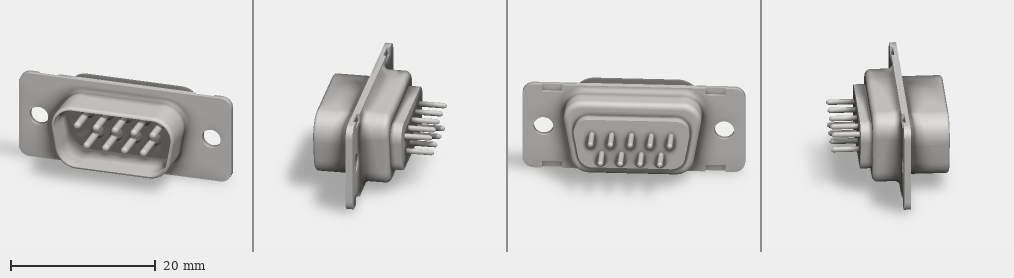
import cadquery as cq
import math


flange_width = 30.81
flange_height = 12.55
flange_thickness = 0.95
flange_corner_radius = 1.53
hole_diameter = 2.72
hole_spacing = 25.0

notch_inner_x = 9.9
notch_outer_x = 12.7
notch_depth = 0.4
notch_height = 1.0

side_angle = math.radians(10)

shell_depth = 5.85
shell_center_x = 5.79
shell_center_z = 1.53
shell_radius = 3.09
shell_wall = 0.38
shell_edge_radius = 0.47
shell_root_radius = 0.5
cavity_floor_y = 0.55

rear_depth = 3.88
rear_center_x = 6.93
rear_center_z = 2.8
rear_radius = 2.57
rear_edge_radius = 0.8
rear_root_radius = 0.8

insulator_depth = 1.6
insulator_center_x = 6.0
insulator_center_z = 1.6
insulator_radius = 2.0

pin_pitch = 2.74
row_spacing = 2.84
upper_row_count = 5
lower_row_count = 4
pin_diameter = 1.0
pin_tip_y = -4.9
pin_collar_diameter = 1.94
pin_collar_height = 0.85
tail_diameter = 0.75
tail_length = 3.86
tail_tip_length = 0.3
tail_tip_inset = 0.2

rear_shell_y = flange_thickness + rear_depth
insulator_y = rear_shell_y + insulator_depth
tail_tip_y = insulator_y + tail_length


def d_section(center_x, center_z, radius, start_y, end_y):
    """Extrude a rounded D between two Y planes; its corner arcs share one radius.

    The upper arc centers lie at (+-center_x, center_z). The lower ones are moved
    inward so that the common tangents lean by the side angle.
    """
    lower_x = center_x - 2 * center_z * math.tan(side_angle)

    def corner(center, degrees):
        angle = math.radians(degrees)
        return (center[0] + radius * math.cos(angle), center[1] + radius * math.sin(angle))

    lean = math.degrees(side_angle)
    upper_right = (center_x, center_z)
    upper_left = (-center_x, center_z)
    lower_left = (-lower_x, -center_z)
    lower_right = (lower_x, -center_z)
    middle = (90 - lean) / 2

    return (
        cq.Workplane("XZ", origin=(0, end_y, 0))
        .moveTo(*corner(upper_right, 90))
        .lineTo(*corner(upper_left, 90))
        .threePointArc(corner(upper_left, 135), corner(upper_left, 180 + lean))
        .lineTo(*corner(lower_left, 180 + lean))
        .threePointArc(corner(lower_left, 270 - middle), corner(lower_left, 270))
        .lineTo(*corner(lower_right, 270))
        .threePointArc(corner(lower_right, 270 + middle), corner(lower_right, 360 - lean))
        .lineTo(*corner(upper_right, -lean))
        .threePointArc(corner(upper_right, 45), corner(upper_right, 90))
        .close()
        .extrude(end_y - start_y)
    )


def make_flange():
    return (
        cq.Workplane("XZ")
        .rect(flange_width, flange_height)
        .extrude(-flange_thickness)
        .edges("|Y")
        .fillet(flange_corner_radius)
    )


def cut_mounting_holes(body):
    holes = (
        cq.Workplane("XZ")
        .pushPoints([(-hole_spacing / 2, 0), (hole_spacing / 2, 0)])
        .circle(hole_diameter / 2)
        .extrude(-flange_thickness)
    )
    return body.cut(holes)


def root_edges(body, plane_y, center_x, center_z, radius):
    """Edges in one Y plane that lie on the outline of a D section."""
    half_width = center_x + radius
    half_height = center_z + radius
    margin = 0.01
    box = cq.selectors.BoxSelector(
        (-half_width - margin, plane_y - margin, -half_height - margin),
        (half_width + margin, plane_y + margin, half_height + margin),
        boundingbox=True,
    )
    return body.edges(box)


def add_shells(body):
    """Join both D-shaped shells to the flange, with rounded outer edges and roots."""
    mating = d_section(shell_center_x, shell_center_z, shell_radius, -shell_depth, 0)
    mating = mating.faces("<Y").edges().fillet(shell_edge_radius)
    rear = d_section(rear_center_x, rear_center_z, rear_radius, flange_thickness, rear_shell_y)
    rear = rear.faces(">Y").edges().fillet(rear_edge_radius)
    body = body.union(mating).union(rear)
    mating_root = root_edges(body, 0, shell_center_x, shell_center_z, shell_radius)
    body = mating_root.fillet(shell_root_radius)
    rear_root = root_edges(body, flange_thickness, rear_center_x, rear_center_z, rear_radius)
    return rear_root.fillet(rear_root_radius)


def cut_notches(body):
    """Shallow steps in the rear face of the flange, open at its long edges."""
    width = notch_outer_x - notch_inner_x
    middle_x = (notch_outer_x + notch_inner_x) / 2
    for side_x in (-1, 1):
        for side_z in (-1, 1):
            notch = cq.Workplane("XY").box(width, notch_depth, notch_height).translate(
                (
                    side_x * middle_x,
                    flange_thickness - notch_depth / 2,
                    side_z * (flange_height - notch_height) / 2,
                )
            )
            body = body.cut(notch)
    return body


def make_pin(x, z):
    """One contact: domed mating pin, tapered collar and solder tail, turned about Y."""
    pin_radius = pin_diameter / 2
    collar_radius = pin_collar_diameter / 2
    tail_radius = tail_diameter / 2
    dome_center_y = pin_tip_y + pin_radius
    dome_offset = pin_radius * math.sqrt(0.5)
    profile = (
        cq.Workplane("XY")
        .moveTo(0, pin_tip_y)
        .threePointArc((dome_offset, dome_center_y - dome_offset), (pin_radius, dome_center_y))
        .lineTo(pin_radius, cavity_floor_y - pin_collar_height)
        .lineTo(collar_radius, cavity_floor_y)
        .lineTo(tail_radius, cavity_floor_y)
        .lineTo(tail_radius, tail_tip_y - tail_tip_length)
        .lineTo(tail_radius - tail_tip_inset, tail_tip_y)
        .lineTo(0, tail_tip_y)
        .close()
    )
    return profile.revolve(360, (0, 0), (0, 1)).translate((x, 0, z))


def add_pin_row(body, count, z):
    for index in range(count):
        x = (index - (count - 1) / 2) * pin_pitch
        body = body.union(make_pin(x, z))
    return body


def cut_cavity(body):
    cavity_radius = shell_radius - shell_wall
    cavity = d_section(shell_center_x, shell_center_z, cavity_radius, -shell_depth, cavity_floor_y)
    return body.cut(cavity)


def add_insulator(body):
    insulator = d_section(
        insulator_center_x, insulator_center_z, insulator_radius, rear_shell_y, insulator_y
    )
    return body.union(insulator)


connector = add_shells(make_flange())
connector = cut_mounting_holes(connector)
connector = cut_notches(connector)
connector = cut_cavity(connector)
connector = add_insulator(connector)
connector = add_pin_row(connector, upper_row_count, row_spacing / 2)
connector = add_pin_row(connector, lower_row_count, -row_spacing / 2)

result = connector